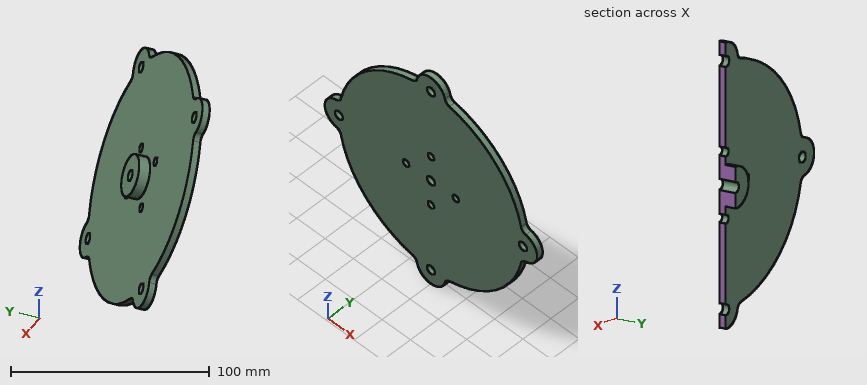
import cadquery as cq
import math

overall_size = 150.0
overall_depth = 10.0
plate_thickness = 4.0
ear_radius = 10.0
ear_circle_radius = overall_size / 2 - ear_radius
disc_radius = ear_circle_radius
ear_fillet_radius = 4.0
boss_diameter = 22.0
main_hole_diameter = 5.5
small_hole_diameter = 4.4
small_hole_circle_radius = 17.5


def cylinder(diameter, depth, places=((0, 0),)):
    """Cylinders from the front face towards +Y, at (x, z) places."""
    return cq.Workplane("XZ").pushPoints(places).circle(diameter / 2).extrude(-depth)


def cross_places(radius):
    """Four places on the X and Z axes at the given distance from the centre."""
    return [(radius, 0), (0, radius), (-radius, 0), (0, -radius)]


ear_places = cross_places(ear_circle_radius)

plate = cylinder(2 * disc_radius, plate_thickness)
for place in ear_places:
    plate = plate.union(cylinder(2 * ear_radius, plate_thickness, [place]))

corner_along = ear_circle_radius - ear_radius**2 / (2 * ear_circle_radius)
corner_across = math.sqrt(disc_radius**2 - corner_along**2)
for along in (corner_along, -corner_along):
    for across in (corner_across, -corner_across):
        for x, z in ((along, across), (across, along)):
            corner = cq.selectors.NearestToPointSelector((x, plate_thickness / 2, z))
            plate = plate.edges("|Y").edges(corner).fillet(ear_fillet_radius)

body = plate.union(cylinder(boss_diameter, overall_depth))

main_holes = cylinder(main_hole_diameter, overall_depth, [(0, 0)] + ear_places)
small_holes = cylinder(small_hole_diameter, overall_depth, cross_places(small_hole_circle_radius))
result = body.cut(main_holes).cut(small_holes)